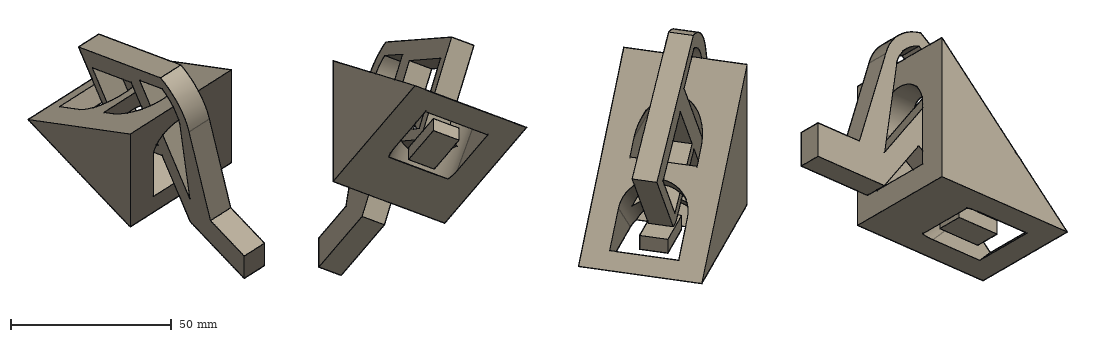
import cadquery as cq
import math

WEDGE_LENGTH = 51.9
WEDGE_WIDTH = 40.0
WEDGE_HEIGHT = 50.2
SLOPE_ANGLE = math.degrees(math.atan2(WEDGE_HEIGHT, WEDGE_LENGTH))

LOWER_SILL = 6.5
LOWER_SPRING = 20.4
LOWER_RADIUS = 11.15
LOWER_DEPTH = 23.1

TUNNEL_END_X = 26.9
TUNNEL_FLOOR = 8.6
TUNNEL_SPRING = 30.3
TUNNEL_RADIUS = 10.9

FRAME_WIDTH = 8.0
FRAME_TILT = 35.6
CORNER_X = 5.1
CORNER_Z = 31.1
FRONT_LEG = 3.75
WINDOW_LENGTH = 24.3
WINDOW_DEPTH = 23.2
TOP_BAR = 6.9
BOTTOM_BAR = 3.75
REAR_LEG = 7.0
OPENING_TOP_BAR = 4.55

FRAME_LENGTH = 89.2
HANDLE_HEIGHT = 12.1
CREST = (46.8, 60.95)
CREST_MIDDLE = (55.6, 56.85)
CREST_END = (61.2, 47.9)
STRUT_FOOT_X = 72.1
OPENING_CREST = (47.5, 55.9)
OPENING_MIDDLE = (52.9, 52.7)
OPENING_CREST_END = (56.6, 46.7)

FOOT_START_X = 15.6
FOOT_LENGTH = 15.7
FOOT_WIDTH = 9.2
FOOT_HEIGHT = 5.0


def arch(plane, sill, spring, radius, depth):
    """Prism with a flat sill, straight sides and a round top, extruded along the plane normal."""
    return (
        cq.Workplane(plane)
        .moveTo(-radius, sill)
        .lineTo(radius, sill)
        .lineTo(radius, spring)
        .threePointArc((0, spring + radius), (-radius, spring))
        .close()
        .extrude(depth)
    )


def make_wedge():
    block = (
        cq.Workplane("XZ")
        .polyline([(0, 0), (WEDGE_LENGTH, 0), (WEDGE_LENGTH, WEDGE_HEIGHT)])
        .close()
        .extrude(WEDGE_WIDTH / 2, both=True)
    )
    slope = math.radians(SLOPE_ANGLE)
    into_slope = cq.Plane(
        origin=(0, 0, 0), xDir=(0, 1, 0), normal=(math.sin(slope), 0, -math.cos(slope))
    )
    lower_hole = arch(into_slope, LOWER_SILL, LOWER_SPRING, LOWER_RADIUS, LOWER_DEPTH)
    tunnel_plane = cq.Plane(origin=(TUNNEL_END_X, 0, 0), xDir=(0, 1, 0), normal=(1, 0, 0))
    tunnel = arch(
        tunnel_plane, TUNNEL_FLOOR, TUNNEL_SPRING, TUNNEL_RADIUS, WEDGE_LENGTH - TUNNEL_END_X
    )
    return block.cut(lower_hole).cut(tunnel)


def tilted_point(along, below):
    """The (x, z) point at a distance along the frame's top edge and square below it."""
    tilt = math.radians(FRAME_TILT)
    x = CORNER_X + along * math.cos(tilt) + below * math.sin(tilt)
    z = CORNER_Z + along * math.sin(tilt) - below * math.cos(tilt)
    return (x, z)


def leg_edge_x(along, z):
    """X at height z on the line square to the top edge at the given distance along it."""
    top_x, top_z = tilted_point(along, 0)
    return top_x + (top_z - z) * math.tan(math.radians(FRAME_TILT))


def make_frame():
    window_end = FRONT_LEG + WINDOW_LENGTH
    window_bottom = TOP_BAR + WINDOW_DEPTH
    frame_bottom = window_bottom + BOTTOM_BAR
    rear_leg_end = window_end + REAR_LEG

    outline = (
        cq.Workplane("XZ")
        .moveTo(CORNER_X, CORNER_Z)
        .lineTo(*CREST)
        .threePointArc(CREST_MIDDLE, CREST_END)
        .lineTo(STRUT_FOOT_X, HANDLE_HEIGHT)
        .lineTo(FRAME_LENGTH, HANDLE_HEIGHT)
        .lineTo(FRAME_LENGTH, 0)
        .lineTo(leg_edge_x(window_end, 0), 0)
        .lineTo(*tilted_point(window_end, frame_bottom))
        .lineTo(*tilted_point(0, frame_bottom))
        .close()
        .extrude(FRAME_WIDTH / 2, both=True)
    )
    window = (
        cq.Workplane("XZ")
        .polyline([
            tilted_point(FRONT_LEG, TOP_BAR),
            tilted_point(window_end, TOP_BAR),
            tilted_point(window_end, window_bottom),
            tilted_point(FRONT_LEG, window_bottom),
        ])
        .close()
        .extrude(FRAME_WIDTH, both=True)
    )
    rear_opening = (
        cq.Workplane("XZ")
        .moveTo(*tilted_point(rear_leg_end, OPENING_TOP_BAR))
        .lineTo(*OPENING_CREST)
        .threePointArc(OPENING_MIDDLE, OPENING_CREST_END)
        .lineTo(leg_edge_x(rear_leg_end, HANDLE_HEIGHT), HANDLE_HEIGHT)
        .close()
        .extrude(FRAME_WIDTH, both=True)
    )
    foot = cq.Workplane("XY").box(
        FOOT_LENGTH, FOOT_WIDTH, FOOT_HEIGHT, centered=(False, True, False)
    ).translate((FOOT_START_X, 0, 0))
    return outline.cut(window).cut(rear_opening).union(foot)


wedge = make_wedge()
frame = make_frame()
result = cq.Compound.makeCompound([wedge.val(), frame.val()])